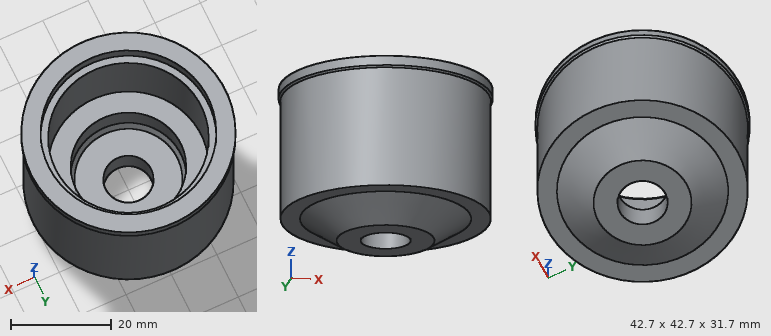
import cadquery as cq
import math

total_height = 31.7
cone_height = 4.6
flange_thickness = 2.35
flange_chamfer = 0.4

flange_diameter = 42.7
body_diameter = flange_diameter - 2 * flange_chamfer
cone_top_diameter = 34.1
cone_bottom_diameter = 19.5

counterbore_diameter = 35.0
counterbore_depth = 3.0
bore_diameter = 32.0
bore_depth = 18.85
recess_diameter = 23.0
recess_depth = 7.0
recess_chamfer_width = 0.75
recess_chamfer_angle = 60.0
recess_chamfer_height = recess_chamfer_width * math.tan(math.radians(recess_chamfer_angle))
through_hole_diameter = 10.0


def make_outer_body():
    """Body of revolution: downward cone, straight body and a flange chamfered underneath."""
    flange_bottom = total_height - flange_thickness
    return (
        cq.Workplane("XZ")
        .lineTo(cone_bottom_diameter / 2, 0)
        .lineTo(cone_top_diameter / 2, cone_height)
        .lineTo(body_diameter / 2, cone_height)
        .lineTo(body_diameter / 2, flange_bottom)
        .lineTo(flange_diameter / 2, flange_bottom + flange_chamfer)
        .lineTo(flange_diameter / 2, total_height)
        .lineTo(0, total_height)
        .close()
        .revolve(360, (0, 0, 0), (0, 1, 0))
    )


def make_cutter(diameter, top, depth):
    """Vertical cylinder on the axis, reaching down from the height top."""
    return cq.Workplane("XY").workplane(offset=top - depth).circle(diameter / 2).extrude(depth)


def make_stepped_bore():
    """Counterbore, main bore, recess chamfered at its floor, and the through hole."""
    bore_floor = total_height - bore_depth
    recess = make_cutter(recess_diameter, bore_floor, recess_depth)
    recess = recess.faces("<Z").edges().chamfer(recess_chamfer_height, recess_chamfer_width)
    return (
        make_cutter(through_hole_diameter, total_height, total_height)
        .union(recess)
        .union(make_cutter(bore_diameter, total_height, bore_depth))
        .union(make_cutter(counterbore_diameter, total_height, counterbore_depth))
    )


result = make_outer_body().cut(make_stepped_bore())